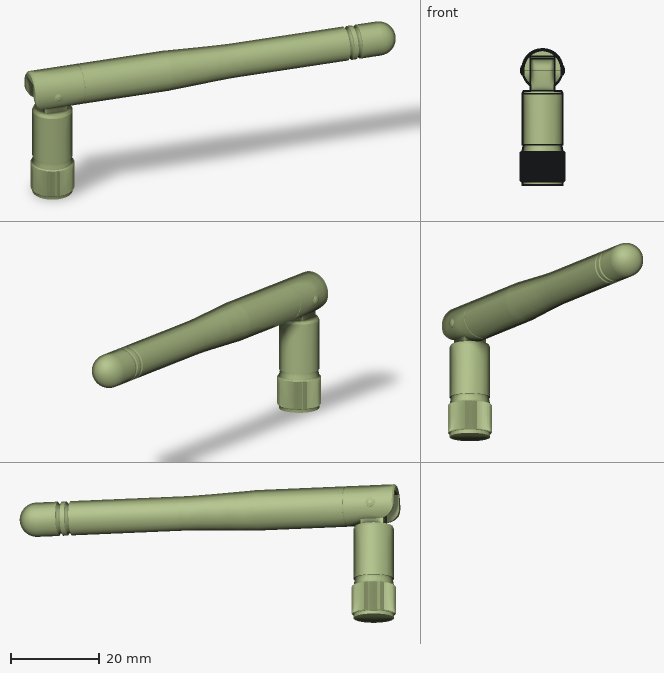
import cadquery as cq
import math


sleeve_radius = 4.6
sleeve_bottom = 9.2
sleeve_top = 21.35
sleeve_edge_drop = 0.6
sleeve_edge_inset = 0.3
neck_radius = 4.3
nut_radius = 5.0
nut_bottom = 0.75
nut_top = 7.6
nut_chamfer = 0.3
end_ring_radius = sleeve_radius

knurl_count = 120
knurl_depth = 0.2

overall_height = 30.9
overall_length = 87.0
base_radius = 4.6
tube_axis_z = overall_height - base_radius
knuckle_end_y = -5.35
tip_y = knuckle_end_y + overall_length
whip_radius = 3.9
taper_start_y = 27.0
blend_start_y = 39.3
blend_end_y = 44.3
ring_groove_centres = (72.3, 70.3)
ring_groove_radius = 0.5
joint_y = 6.3
joint_width = 0.25
joint_depth = 0.1

pivot_z = 26.05
knuckle_corner_radius = 3.4
knuckle_edge = 0.35
slot_width = 5.5
slot_top = 29.2
tongue_depth = 5.2
pin_length = 9.8
pin_radius = 1.0
pin_tip_radius = 0.4
pin_cone_height = 0.25


def make_connector():
    profile = (
        cq.Workplane("XZ")
        .polyline(
            [
                (0, 0),
                (end_ring_radius, 0),
                (end_ring_radius, nut_bottom),
                (nut_radius - nut_chamfer, nut_bottom),
                (nut_radius, nut_bottom + nut_chamfer),
                (nut_radius, nut_top - nut_chamfer),
                (nut_radius - nut_chamfer, nut_top),
                (sleeve_radius, nut_top),
                (neck_radius, sleeve_bottom),
                (sleeve_radius, sleeve_bottom),
                (sleeve_radius, sleeve_top - sleeve_edge_drop),
                (sleeve_radius - sleeve_edge_inset, sleeve_top),
                (0, sleeve_top),
            ]
        )
        .close()
    )
    return profile.revolve(360, (0, 0, 0), (0, 1, 0))


def make_knurl_cutter():
    """Ring around the nut whose inner wall is a zigzag of V teeth."""
    pitch_angle = 2 * math.pi / knurl_count
    root_radius = nut_radius - knurl_depth
    zigzag = []
    for tooth in range(knurl_count):
        crest_angle = tooth * pitch_angle
        root_angle = crest_angle + pitch_angle / 2
        zigzag.append((nut_radius * math.cos(crest_angle), nut_radius * math.sin(crest_angle)))
        zigzag.append((root_radius * math.cos(root_angle), root_radius * math.sin(root_angle)))
    base = cq.Workplane("XY").workplane(offset=nut_bottom)
    height = nut_top - nut_bottom
    teeth = base.polyline(zigzag).close().extrude(height)
    return base.circle(nut_radius + knurl_depth).extrude(height).cut(teeth)


def make_tube():
    """Tube from the joint to the domed tip, with a conical taper blended into the thin whip."""
    dome_start_y = tip_y - whip_radius
    dome_mid = whip_radius * math.sqrt(0.5)
    meeting_y = (blend_start_y + blend_end_y) / 2
    taper_slope = (base_radius - whip_radius) / (meeting_y - taper_start_y)
    blend_start_radius = whip_radius + taper_slope * (meeting_y - blend_start_y)
    profile = (
        cq.Workplane("XY")
        .moveTo(0, joint_y)
        .lineTo(base_radius, joint_y)
        .lineTo(base_radius, taper_start_y)
        .lineTo(blend_start_radius, blend_start_y)
        .tangentArcPoint((whip_radius, blend_end_y), relative=False)
        .lineTo(whip_radius, dome_start_y)
        .threePointArc((dome_mid, dome_start_y + dome_mid), (0, tip_y))
        .close()
    )
    tube = profile.revolve(360, (0, 0, 0), (0, 1, 0))
    for groove_y in ring_groove_centres:
        groove = (
            cq.Workplane("XY")
            .center(whip_radius, groove_y)
            .circle(ring_groove_radius)
            .revolve(360, (-whip_radius, 0, 0), (-whip_radius, 1, 0))
        )
        tube = tube.cut(groove)
    return tube.translate((0, 0, tube_axis_z))


def make_knuckle():
    """Forked end of the tube, rounded underneath, with a slot for the tongue."""
    length = joint_y - knuckle_end_y
    barrel = (
        cq.Workplane("XZ", origin=(0, joint_y, tube_axis_z))
        .circle(base_radius)
        .extrude(length)
    )
    corner_y = knuckle_end_y + knuckle_corner_radius
    corner_mid = knuckle_corner_radius * math.sqrt(0.5)
    corner_bottom = pivot_z - knuckle_corner_radius
    below = tube_axis_z - 2 * base_radius
    beyond = knuckle_end_y - base_radius
    corner_cutter = (
        cq.Workplane("YZ", origin=(-base_radius, 0, 0))
        .moveTo(knuckle_end_y, pivot_z)
        .threePointArc((corner_y - corner_mid, pivot_z - corner_mid), (corner_y, corner_bottom))
        .lineTo(corner_y, below)
        .lineTo(beyond, below)
        .lineTo(beyond, pivot_z)
        .close()
        .extrude(2 * base_radius)
    )
    knuckle = barrel.faces("<Y").edges().chamfer(knuckle_edge).cut(corner_cutter)
    slot_length = tongue_depth / 2 - knuckle_end_y
    slot_height = 2 * base_radius
    slot = cq.Workplane("XY").box(slot_width, slot_length, slot_height, centered=(True, False, False))
    return knuckle.cut(slot.translate((0, knuckle_end_y, slot_top - slot_height)))


def make_joint_cutter():
    """Shallow ring where the tube meets the knuckle."""
    return (
        cq.Workplane("XZ", origin=(0, joint_y + joint_width / 2, tube_axis_z))
        .circle(base_radius + joint_depth)
        .circle(base_radius - joint_depth)
        .extrude(joint_width)
    )


def make_tongue():
    half_depth = tongue_depth / 2
    return (
        cq.Workplane("YZ", origin=(-slot_width / 2, 0, 0))
        .moveTo(-half_depth, sleeve_top)
        .lineTo(-half_depth, pivot_z)
        .threePointArc((0, pivot_z + half_depth), (half_depth, pivot_z))
        .lineTo(half_depth, sleeve_top)
        .close()
        .extrude(slot_width)
    )


def make_pin():
    """Pin revolved about the pivot, with a blunt cone at each end."""
    half_length = pin_length / 2
    shoulder = half_length - pin_cone_height
    profile = (
        cq.Workplane("XY")
        .polyline(
            [
                (-half_length, 0),
                (-half_length, pin_tip_radius),
                (-shoulder, pin_radius),
                (shoulder, pin_radius),
                (half_length, pin_tip_radius),
                (half_length, 0),
            ]
        )
        .close()
    )
    return profile.revolve(360, (0, 0, 0), (1, 0, 0)).translate((0, 0, pivot_z))


connector = make_connector().cut(make_knurl_cutter())
antenna = make_tube().union(make_knuckle()).cut(make_joint_cutter())
result = connector.union(make_tongue()).union(antenna).union(make_pin())